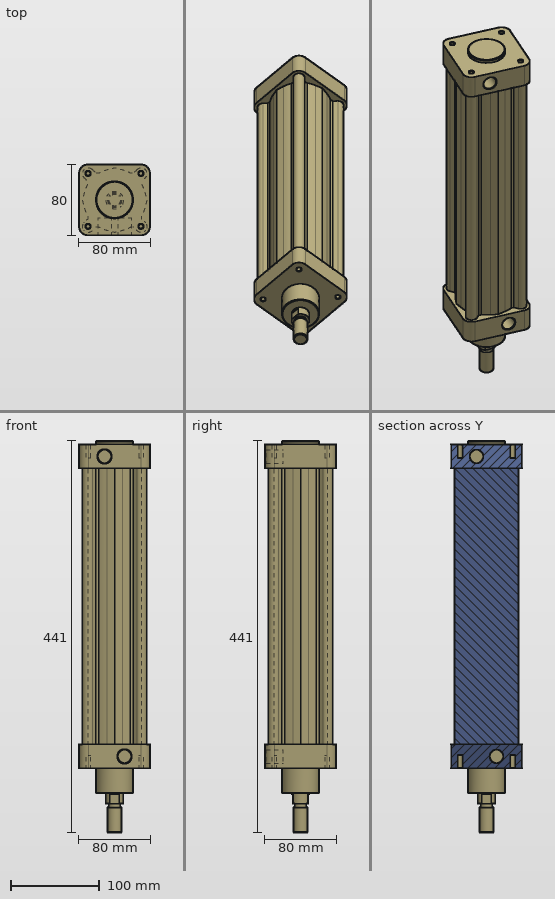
import cadquery as cq
import math


total_length = 441.0

cover_side = 80.0
cover_thickness = 27.0
bolt_offset = 29.75
cover_corner_radius = cover_side / 2 - bolt_offset
collar_diameter = 42.0
cap_collar_length = 4.0
head_collar_length = 28.0
collar_chamfer = 0.8
bolt_hole_diameter = 5.0
bolt_hole_chamfer = 0.6
bolt_hole_depth = 15.0
port_diameter = 15.0
port_chamfer = 0.7
port_depth = 20.0
port_offset = 11.25

barrel_radius = 35.2
ridge_half_width = 8.6
shoulder_offset = 30.3
rib_radius = 6.5

rod_diameter = 19.8
wrench_flat_width = 17.0
rod_full_round_length = 1.0
thread_diameter = 16.0
thread_length = 28.5
thread_tip_chamfer = 1.0
neck_diameter = 13.0
rod_shoulder_height = 33.0
rod_length = 44.5

head_bottom = rod_length + head_collar_length
head_top = head_bottom + cover_thickness
cap_top = total_length - cap_collar_length
cap_bottom = cap_top - cover_thickness


def make_cover(bottom):
    """Square end cover with rounded vertical corners."""
    return (
        cq.Workplane("XY", origin=(0, 0, bottom))
        .rect(cover_side, cover_side)
        .extrude(cover_thickness)
        .edges("|Z")
        .fillet(cover_corner_radius)
    )


def make_collar(bottom, length, free_end):
    """Round collar with a chamfer around its free end, selected as the top or bottom face."""
    return (
        cq.Workplane("XY", origin=(0, 0, bottom))
        .circle(collar_diameter / 2)
        .extrude(length)
        .faces(free_end)
        .chamfer(collar_chamfer)
    )


def make_blind_hole(mouth, direction, diameter, depth, chamfer):
    """Cutter for a blind round hole with a chamfered mouth."""
    radius = diameter / 2
    bore = cq.Solid.makeCylinder(radius, depth, mouth, direction)
    countersink = cq.Solid.makeCone(radius + chamfer, radius, chamfer, mouth, direction)
    return cq.Workplane("XY").add(bore).union(cq.Workplane("XY").add(countersink))


def cut_port(cover, x, z):
    """Air port going in from the -Y side of a cover."""
    mouth = cq.Vector(x, -cover_side / 2, z)
    return cover.cut(make_blind_hole(mouth, cq.Vector(0, 1, 0), port_diameter, port_depth, port_chamfer))


def cut_bolt_holes(cover, face, inward):
    """Four blind bolt holes starting at the outer face of a cover."""
    direction = cq.Vector(0, 0, inward)
    for x in (-bolt_offset, bolt_offset):
        for y in (-bolt_offset, bolt_offset):
            mouth = cq.Vector(x, y, face)
            hole = make_blind_hole(mouth, direction, bolt_hole_diameter, bolt_hole_depth, bolt_hole_chamfer)
            cover = cover.cut(hole)
    return cover


def make_rear_cap():
    cap = make_cover(cap_bottom).union(make_collar(cap_top, cap_collar_length, ">Z"))
    cap = cut_port(cap, -port_offset, cap_bottom + cover_thickness / 2)
    return cut_bolt_holes(cap, cap_top, -1)


def make_front_head():
    head = make_cover(head_bottom).union(make_collar(rod_length, head_collar_length, "<Z"))
    head = cut_port(head, port_offset, head_bottom + cover_thickness / 2)
    return cut_bolt_holes(head, head_bottom, 1)


def make_barrel():
    """Extruded barrel: one side's outline repeated every 90 degrees about Z."""
    ridge_angle = math.asin(ridge_half_width / barrel_radius)
    ridge_peak = barrel_radius / math.cos(ridge_angle)
    arc_end_angle = math.acos(shoulder_offset / barrel_radius)
    arc_mid_angle = (ridge_angle + arc_end_angle) / 2
    rib_flank = rib_radius / math.sqrt(2)
    rib_tip = bolt_offset + rib_flank

    def on_curve(angle, mirror):
        return (mirror * barrel_radius * math.sin(angle), -barrel_radius * math.cos(angle))

    rib_foot = shoulder_offset - 2 * rib_flank
    side = {
        "rib_start": (-(bolt_offset - rib_flank), -rib_tip),
        "left_foot": (-rib_foot, -shoulder_offset),
        "left_arc_start": on_curve(arc_end_angle, -1),
        "left_arc_mid": on_curve(arc_mid_angle, -1),
        "left_arc_end": on_curve(ridge_angle, -1),
        "peak": (0, -ridge_peak),
        "right_arc_start": on_curve(ridge_angle, 1),
        "right_arc_mid": on_curve(arc_mid_angle, 1),
        "right_arc_end": on_curve(arc_end_angle, 1),
        "right_foot": (rib_foot, -shoulder_offset),
        "rib_end": (bolt_offset - rib_flank, -rib_tip),
        "rib_mid": (rib_tip, -rib_tip),
        "next_rib_start": (rib_tip, -(bolt_offset - rib_flank)),
    }

    def turned(name, quarter_turns):
        x, y = side[name]
        for _ in range(quarter_turns):
            x, y = -y, x
        return (x, y)

    outline = cq.Workplane("XY", origin=(0, 0, head_top)).moveTo(*side["rib_start"])
    for turn in range(4):
        outline = (
            outline
            .lineTo(*turned("left_foot", turn))
            .lineTo(*turned("left_arc_start", turn))
            .threePointArc(turned("left_arc_mid", turn), turned("left_arc_end", turn))
            .lineTo(*turned("peak", turn))
            .lineTo(*turned("right_arc_start", turn))
            .threePointArc(turned("right_arc_mid", turn), turned("right_arc_end", turn))
            .lineTo(*turned("right_foot", turn))
            .lineTo(*turned("rib_end", turn))
            .threePointArc(turned("rib_mid", turn), turned("next_rib_start", turn))
        )
    return outline.close().extrude(cap_bottom - head_top)


def make_piston_rod():
    """Turned rod with a thread-size end, a filleted neck and two wrench flats facing +Y and -Y."""
    rod_radius = rod_diameter / 2
    thread_radius = thread_diameter / 2
    neck_radius = neck_diameter / 2
    neck_fillet = thread_radius - neck_radius
    neck_start = thread_length + neck_fillet
    fillet_mid = (
        -(thread_radius - neck_fillet * math.sqrt(0.5)),
        neck_start - neck_fillet * math.sqrt(0.5),
    )
    rod = (
        cq.Workplane("YZ")
        .moveTo(0, 0)
        .lineTo(-(thread_radius - thread_tip_chamfer), 0)
        .lineTo(-thread_radius, thread_tip_chamfer)
        .lineTo(-thread_radius, thread_length)
        .threePointArc(fillet_mid, (-neck_radius, neck_start))
        .lineTo(-neck_radius, rod_shoulder_height)
        .lineTo(-rod_radius, rod_shoulder_height)
        .lineTo(-rod_radius, rod_length)
        .lineTo(0, rod_length)
        .close()
        .revolve(360, (0, 0, 0), (0, 1, 0))
    )
    flat_bottom = rod_shoulder_height
    flat_top = rod_length - rod_full_round_length
    for side in (-1, 1):
        flat_cutter = cq.Workplane("XY").box(
            rod_diameter, rod_diameter, flat_top - flat_bottom, centered=(True, True, False)
        )
        flat_shift = side * (wrench_flat_width + rod_diameter) / 2
        rod = rod.cut(flat_cutter.translate((0, flat_shift, flat_bottom)))
    return rod


rear_cap = make_rear_cap()
barrel = make_barrel()
front_head = make_front_head()
piston_rod = make_piston_rod()

result = cq.Compound.makeCompound([
    rear_cap.val(),
    barrel.val(),
    front_head.val(),
    piston_rod.val(),
])